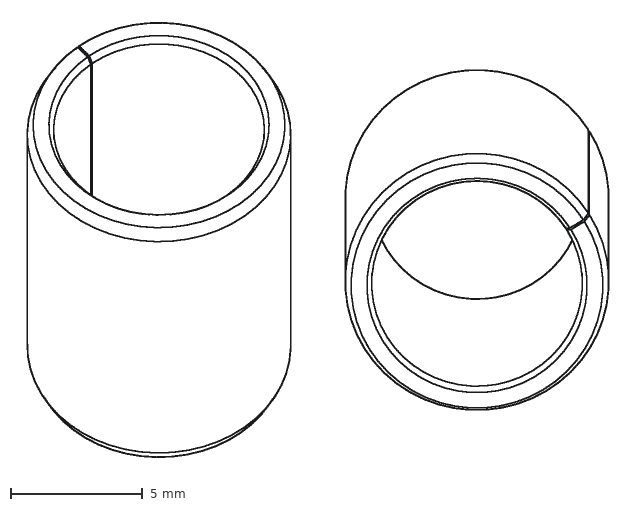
import cadquery as cq

length = 15.0
outer_diameter = 10.0
bore_diameter = 8.0
outer_chamfer_height = 0.6
outer_chamfer_depth = 0.22
bore_chamfer_height = 0.3
bore_chamfer_depth = 0.18
slit_width = 0.08

outer_radius = outer_diameter / 2
bore_radius = bore_diameter / 2
half_length = length / 2


def make_sleeve():
    """Revolve the wall section, bevelled inside and outside at both ends."""
    end_outer_radius = outer_radius - outer_chamfer_depth
    end_bore_radius = bore_radius + bore_chamfer_depth
    outer_bevel_z = half_length - outer_chamfer_height
    bore_bevel_z = half_length - bore_chamfer_height
    wall_section = [
        (bore_radius, -bore_bevel_z),
        (end_bore_radius, -half_length),
        (end_outer_radius, -half_length),
        (outer_radius, -outer_bevel_z),
        (outer_radius, outer_bevel_z),
        (end_outer_radius, half_length),
        (end_bore_radius, half_length),
        (bore_radius, bore_bevel_z),
    ]
    return cq.Workplane("XZ").polyline(wall_section).close().revolve(360, (0, 0), (0, 1))


def make_slit():
    """Thin cutter through the -X wall, with one face on the XZ plane and the other on its +Y side."""
    blank = cq.Workplane("XY").box(outer_radius, slit_width, length)
    return blank.translate((-outer_radius, slit_width / 2, 0))


result = make_sleeve().cut(make_slit())